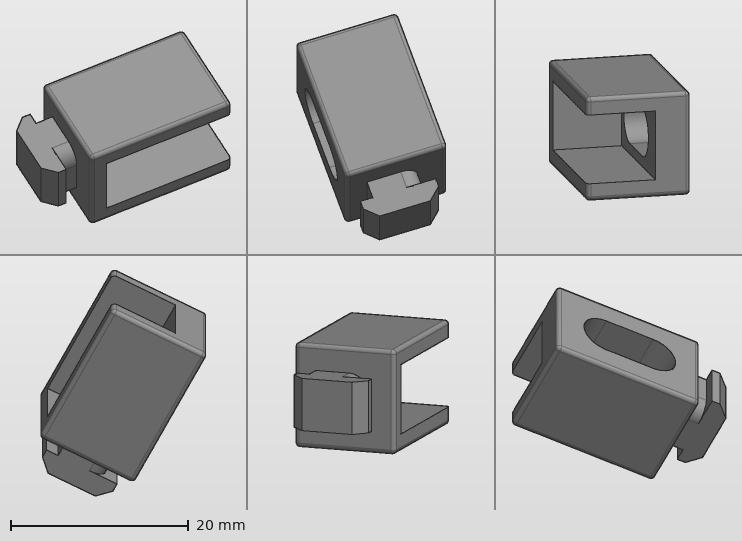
import cadquery as cq

total_length = 22.25
block_side = 12.0
block_edge_radius = 0.5

key_offset_x = -0.5
key_height = 6.0
neck_width = 6.0
neck_length = 2.07
neck_corner_radius = 2.0
head_width = 8.95
head_length = 2.45
head_straight_length = 1.0

slot_length = 11.44
slot_height = 5.6
slot_offset_y = -0.15

slotted_wall_thickness = 4.0
pocket_wall_thickness = 2.0

block_length = total_length - neck_length - head_length
block_front_y = -block_length / 2
head_back_y = block_front_y - neck_length
head_front_y = head_back_y - head_length


def make_block():
    """Block with every outer edge rounded, cut by a slot that opens into a wider pocket."""
    block = cq.Workplane("XY").box(block_side, block_length, block_side)
    block = block.edges().fillet(block_edge_radius)
    slot = (
        cq.Workplane("YZ")
        .center(slot_offset_y, 0)
        .slot2D(slot_length, slot_height)
        .extrude(block_side, both=True)
    )
    return block.cut(slot).cut(make_pocket())


def make_pocket():
    """Space that leaves the slotted wall, the front wall, the floor and the roof."""
    pocket_height = block_side - 2 * pocket_wall_thickness
    return cq.Workplane("XY").box(
        block_side - slotted_wall_thickness,
        block_length - pocket_wall_thickness,
        pocket_height,
    ).translate((slotted_wall_thickness / 2, pocket_wall_thickness / 2, 0))


def make_neck():
    """Square neck with two opposite corners rounded, as on a quarter-turn key."""
    neck = cq.Workplane("XY").box(neck_width, neck_length, key_height)
    neck = neck.edges("|Y and >X and >Z").fillet(neck_corner_radius)
    neck = neck.edges("|Y and <X and <Z").fillet(neck_corner_radius)
    return neck.translate((key_offset_x, block_front_y - neck_length / 2, 0))


def make_head():
    """Key head that tapers to the neck width at its front face."""
    taper_start_y = head_back_y - head_straight_length
    half_head = head_width / 2
    half_tip = neck_width / 2
    outline = [
        (-half_head, head_back_y),
        (half_head, head_back_y),
        (half_head, taper_start_y),
        (half_tip, head_front_y),
        (-half_tip, head_front_y),
        (-half_head, taper_start_y),
    ]
    head = cq.Workplane("XY").polyline(outline).close().extrude(key_height / 2, both=True)
    return head.translate((key_offset_x, 0, 0))


result = make_block().union(make_neck()).union(make_head())